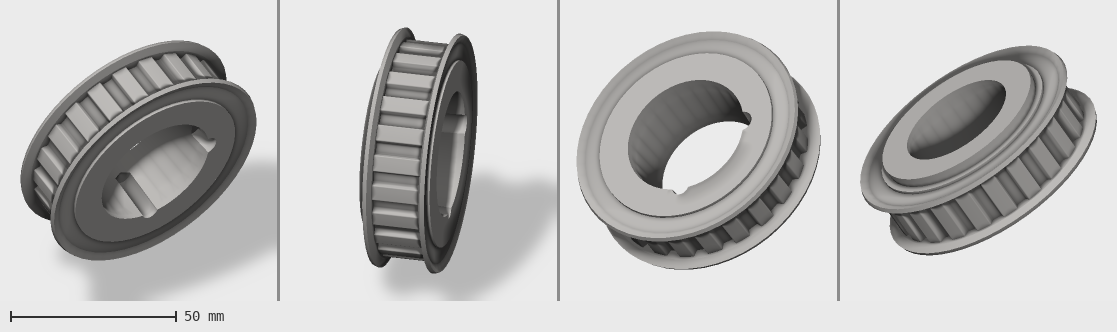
import cadquery as cq
import math

overall_length = 22.3
belt_width = 14.5
rim_setback = 3.15

groove_count = 22
tip_radius = 32.95
groove_depth = 2.1
groove_floor_width = 3.1
flank_angle = 20.0
root_fillet = 0.5
tip_fillet = 0.4
cutter_overshoot = 1.45

hub_radius = 26.2
shoulder_radius = 28.4

bore_small_radius = 17.5
bore_half_angle = 4.0

recess_axis_radius = 18.4
drilled_radius = 2.6
drilled_angle = 264.4
drilled_start = 6.5
drill_point_angle = 118.0
flat_radius = 3.3
flat_angle = 0.0
flat_start = 13.6

flange_outer_radius = 36.5
flange_hole_radius = 28.5
flange_thickness = 1.4
flange_tilt = 20.0
flange_bend_radius = 33.8

flange_mid = (rim_setback + overall_length) / 2
rim_start = flange_mid - belt_width / 2
groove_pitch = 360.0 / groove_count
first_groove_angle = groove_pitch / 4


def revolve_about_x(points):
    """Turn a closed (x, radius) outline about the X axis."""
    return cq.Workplane("XZ").polyline(points).close().revolve(360, (0, 0, 0), (1, 0, 0))


def groove_cutter():
    """One trapezoidal groove with rounded root corners, pointing along +Y."""
    root_radius = tip_radius - groove_depth
    top_radius = tip_radius + cutter_overshoot
    floor_half = groove_floor_width / 2
    top_half = floor_half + (top_radius - root_radius) * math.tan(math.radians(flank_angle))
    return (
        cq.Workplane("YZ", origin=(rim_start, 0, 0))
        .polyline([
            (root_radius, -floor_half),
            (top_radius, -top_half),
            (top_radius, top_half),
            (root_radius, floor_half),
        ])
        .close()
        .extrude(belt_width)
        .edges("|X and <Y")
        .fillet(root_fillet)
    )


def is_tip_edge(edge):
    """True for the lengthwise edges where a flank meets the tip cylinder."""
    center = edge.Center()
    return math.hypot(center.y, center.z) > tip_radius - groove_depth / 10


def toothed_rim():
    rim = cq.Workplane("YZ", origin=(rim_start, 0, 0)).circle(tip_radius).extrude(belt_width)
    cutter = groove_cutter()
    for index in range(groove_count):
        angle = first_groove_angle + index * groove_pitch
        rim = rim.cut(cutter.rotate((0, 0, 0), (1, 0, 0), angle))
    return rim.edges("|X").filter(is_tip_edge).fillet(tip_fillet)


def hub_and_shoulders():
    return revolve_about_x([
        (0, 0),
        (0, hub_radius),
        (rim_setback, hub_radius),
        (rim_setback, shoulder_radius),
        (overall_length, shoulder_radius),
        (overall_length, 0),
    ])


def tapered_bore():
    large_radius = bore_small_radius + overall_length * math.tan(math.radians(bore_half_angle))
    return revolve_about_x([
        (0, 0),
        (0, bore_small_radius),
        (overall_length, large_radius),
        (overall_length, 0),
    ])


def place_recess(cutter, start, angle):
    """Move a cutter from the X axis to its place in the bore wall."""
    return cutter.translate((start, recess_axis_radius, 0)).rotate((0, 0, 0), (1, 0, 0), angle)


def drilled_recess():
    """Recess ending in a conical drill point."""
    length = overall_length - drilled_start
    point_length = drilled_radius / math.tan(math.radians(drill_point_angle / 2))
    drill = revolve_about_x([
        (-point_length, 0),
        (0, drilled_radius),
        (length, drilled_radius),
        (length, 0),
    ])
    return place_recess(drill, drilled_start, drilled_angle)


def flat_recess():
    """Recess ending in a flat face."""
    cutter = cq.Workplane("YZ").circle(flat_radius).extrude(overall_length - flat_start)
    return place_recess(cutter, flat_start, flat_angle)


def pulley_body():
    blank = toothed_rim().union(hub_and_shoulders())
    return blank.cut(tapered_bore()).cut(drilled_recess()).cut(flat_recess())


def flange():
    """The near flange, lying against the near end of the teeth."""
    tilt = math.radians(flange_tilt)
    outer_face = rim_start - flange_thickness
    rim_tip = rim_start - (flange_outer_radius - flange_bend_radius) * math.tan(tilt)
    return revolve_about_x([
        (rim_start, flange_hole_radius),
        (rim_start, flange_bend_radius),
        (rim_tip, flange_outer_radius),
        (
            rim_tip - flange_thickness * math.cos(tilt),
            flange_outer_radius - flange_thickness * math.sin(tilt),
        ),
        (outer_face, flange_bend_radius - flange_thickness * math.tan(tilt / 2)),
        (outer_face, flange_hole_radius),
    ])


pulley = pulley_body()
near_flange = flange()
far_flange = near_flange.mirror("YZ", (flange_mid, 0, 0))

result = cq.Compound.makeCompound([pulley.val(), near_flange.val(), far_flange.val()])